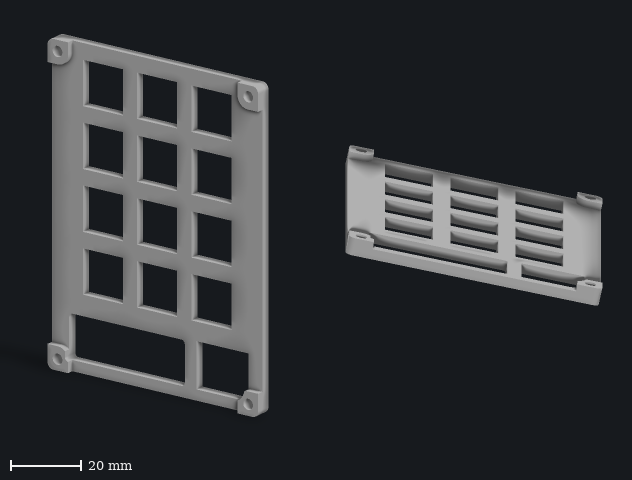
import cadquery as cq

width = 73.8
height = 100.0
total_depth = 5.1
plate_thickness = 3.0
outer_radius = 2.0

pad_width = 7.2
pad_height = 7.4
pad_radius = 3.6
screw_hole_diameter = 3.4
screw_inset = 3.5

key_size = 14.0
key_pitch = 19.0
key_columns = 3
key_rows = 4
key_top_margin = 5.1

lower_window_base = 3.4
display_left = 6.1
display_width = 40.5
display_height = 14.0
display_radius = 1.2
side_window_left = 50.7
side_window_width = 18.3
side_window_height = 14.6
side_window_radius = 4.5

left = -width / 2
bottom = -height / 2
back = total_depth / 2


def block(x_min, z_min, x_size, z_size, depth=total_depth):
    """Box reaching forward from the back plane, placed by its lower left corner."""
    return cq.Workplane("XY").box(x_size, depth, z_size, centered=False).translate(
        (x_min, back - depth, z_min)
    )


def corner_pad(x_side, z_side):
    """Full-depth corner block with its inner corner rounded."""
    x_centre = x_side * (width - pad_width) / 2
    z_centre = z_side * (height - pad_height) / 2
    pad = block(x_centre - pad_width / 2, z_centre - pad_height / 2, pad_width, pad_height)
    inner_x = "<X" if x_side > 0 else ">X"
    inner_z = "<Z" if z_side > 0 else ">Z"
    return pad.edges("|Y").edges(inner_x).edges(inner_z).fillet(pad_radius)


body = block(left, bottom, width, height, plate_thickness)
for x_side in (-1, 1):
    for z_side in (-1, 1):
        body = body.union(corner_pad(x_side, z_side))
outline = block(left, bottom, width, height).edges("|Y").fillet(outer_radius)
body = body.intersect(outline)

screw_holes = (
    cq.Workplane("XZ", origin=(0, back, 0))
    .rarray(width - 2 * screw_inset, height - 2 * screw_inset, 2, 2)
    .circle(screw_hole_diameter / 2)
    .extrude(total_depth)
)
body = body.cut(screw_holes)

top_row_z = height / 2 - key_top_margin - key_size / 2
key_grid_z = top_row_z - (key_rows - 1) * key_pitch / 2
keys = (
    cq.Workplane("XZ", origin=(0, back, key_grid_z))
    .rarray(key_pitch, key_pitch, key_columns, key_rows)
    .rect(key_size, key_size)
    .extrude(total_depth)
)
body = body.cut(keys)

window_z = bottom + lower_window_base
display = block(left + display_left, window_z, display_width, display_height)
body = body.cut(display.edges("|Y").fillet(display_radius))

side_window = block(left + side_window_left, window_z, side_window_width, side_window_height)
side_window = side_window.edges("|Y").edges(">X").edges("<Z").fillet(side_window_radius)
result = body.cut(side_window)